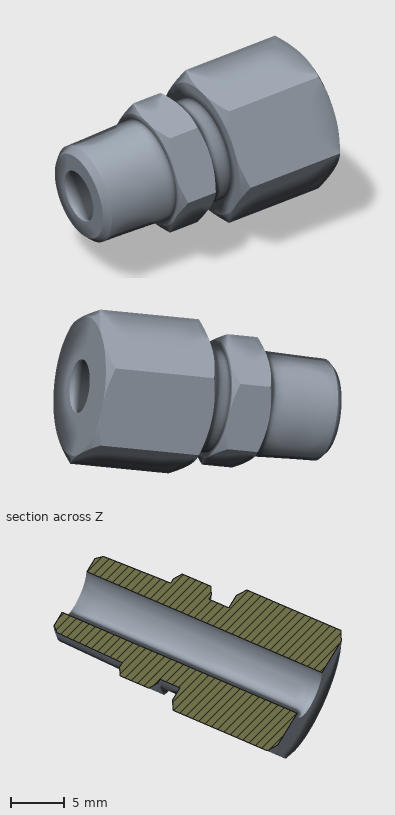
import cadquery as cq
import math


total_length = 24.53
thread_length = 7.5
gauge_length = 4.0
body_hex_length = 4.0
nut_length = 11.0

bore_diameter = 5.0
neck_diameter = 10.0
body_hex_flats = 11.0
nut_flats = 13.0

gauge_diameter = 9.728
thread_taper = 1 / 16
end_chamfer_length = 0.6
end_face_diameter = 8.35

hex_chamfer_angle = math.radians(30)

body_hex_start = thread_length
neck_start = body_hex_start + body_hex_length
nut_start = total_length - nut_length


def thread_radius(y):
    """Radius of the tapered thread envelope at a position along the axis."""
    return (gauge_diameter + (y - gauge_length) * thread_taper) / 2


def cylinder(diameter, start, length):
    """Cylinder along +Y."""
    plane = cq.Workplane("XZ", origin=(0, start, 0))
    return plane.circle(diameter / 2).extrude(-length)


def chamfered_hex(flats, start, length):
    """Hexagonal prism along +Y, corners on the X axis, both ends turned to a cone."""
    corner_radius = flats / math.sqrt(3)
    face_radius = flats / 2
    chamfer_length = (corner_radius - face_radius) * math.tan(hex_chamfer_angle)
    end = start + length

    plane = cq.Workplane("XZ", origin=(0, start, 0))
    prism = plane.polygon(6, 2 * corner_radius).extrude(-length)
    turned_envelope = (
        cq.Workplane("XY")
        .moveTo(0, start)
        .lineTo(face_radius, start)
        .lineTo(corner_radius, start + chamfer_length)
        .lineTo(corner_radius, end - chamfer_length)
        .lineTo(face_radius, end)
        .lineTo(0, end)
        .close()
        .revolve(360, (0, 0, 0), (0, 1, 0))
    )
    return prism.intersect(turned_envelope)


def tapered_thread():
    """Plain tapered envelope of the thread, chamfered at its free end."""
    return (
        cq.Workplane("XY")
        .moveTo(0, 0)
        .lineTo(end_face_diameter / 2, 0)
        .lineTo(thread_radius(end_chamfer_length), end_chamfer_length)
        .lineTo(thread_radius(thread_length), thread_length)
        .lineTo(0, thread_length)
        .close()
        .revolve(360, (0, 0, 0), (0, 1, 0))
    )


thread = tapered_thread()
body_hex = chamfered_hex(body_hex_flats, body_hex_start, body_hex_length)
neck = cylinder(neck_diameter, neck_start, nut_start - neck_start)
nut = chamfered_hex(nut_flats, nut_start, nut_length)
bore = cylinder(bore_diameter, 0, total_length)

result = thread.union(body_hex).union(neck).union(nut).cut(bore)